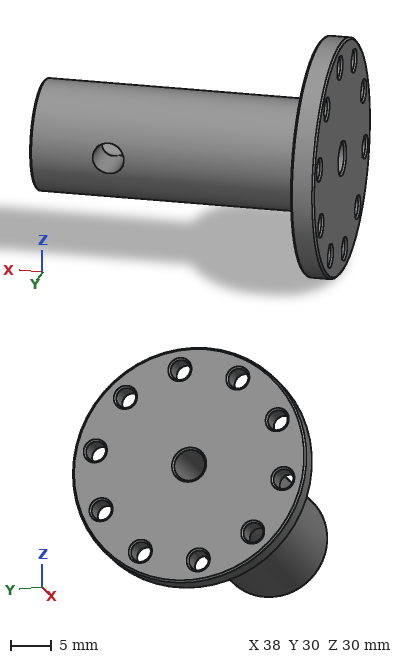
import cadquery as cq

total_length = 38.0
flange_diameter = 30.0
flange_thickness = 3.0
barrel_diameter = 14.0
edge_chamfer = 0.25

center_hole_diameter = 3.9
bolt_hole_diameter = 2.5
bolt_hole_count = 10
bolt_circle_radius = 12.3
bolt_pattern_angle = 5.5
side_hole_diameter = 3.95
side_hole_x = 28.0


def hole_cutter(diameter, depth):
    """Hole along +X from the flange face, with a chamfered mouth."""
    radius = diameter / 2
    mouth_radius = radius + edge_chamfer
    profile = [
        (0, 0),
        (0, mouth_radius),
        (edge_chamfer, radius),
        (depth, radius),
        (depth, 0),
    ]
    return cq.Workplane("XY").polyline(profile).close().revolve(360, (0, 0, 0), (1, 0, 0))


flange = cq.Workplane("YZ").circle(flange_diameter / 2).extrude(flange_thickness)
flange = flange.edges().chamfer(edge_chamfer)

barrel = cq.Workplane("YZ").circle(barrel_diameter / 2).extrude(total_length)
barrel = barrel.faces(">X").edges().chamfer(edge_chamfer)
body = flange.union(barrel)
flange_rear = body.faces(cq.selectors.NearestToPointSelector((flange_thickness, 0, 0)))
body = flange_rear.edges(cq.selectors.RadiusNthSelector(0)).chamfer(edge_chamfer)

body = body.cut(hole_cutter(center_hole_diameter, total_length))

bolt_hole = hole_cutter(bolt_hole_diameter, flange_thickness).translate((0, 0, bolt_circle_radius))
for index in range(bolt_hole_count):
    angle = index * 360 / bolt_hole_count - bolt_pattern_angle
    body = body.cut(bolt_hole.rotate((0, 0, 0), (1, 0, 0), angle))

side_hole = (
    cq.Workplane("XZ", origin=(side_hole_x, 0, 0))
    .circle(side_hole_diameter / 2)
    .extrude(-barrel_diameter / 2)
)
result = body.cut(side_hole)